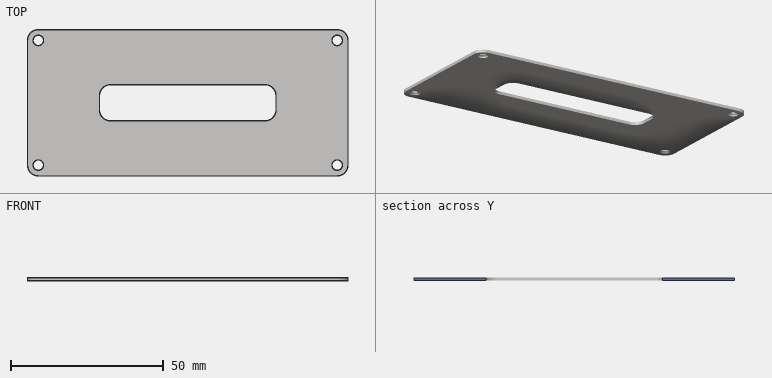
import cadquery as cq

length = 105.0
width = 48.0
thickness = 1.0
corner_radius = 3.6

hole_diameter = 3.4
hole_spacing_x = length - 2 * corner_radius
hole_spacing_y = width - 2 * corner_radius

window_length = 57.8
window_width = 11.8
window_radius = 3.6


def rounded_slab(size_x, size_y, radius):
    """Centred slab of plate thickness with rounded vertical edges."""
    return cq.Workplane("XY").box(size_x, size_y, thickness).edges("|Z").fillet(radius)


plate = rounded_slab(length, width, corner_radius)
window = rounded_slab(window_length, window_width, window_radius)

result = (
    plate.cut(window)
    .faces(">Z")
    .workplane(origin=(0, 0, 0))
    .rect(hole_spacing_x, hole_spacing_y, forConstruction=True)
    .vertices()
    .hole(hole_diameter)
)